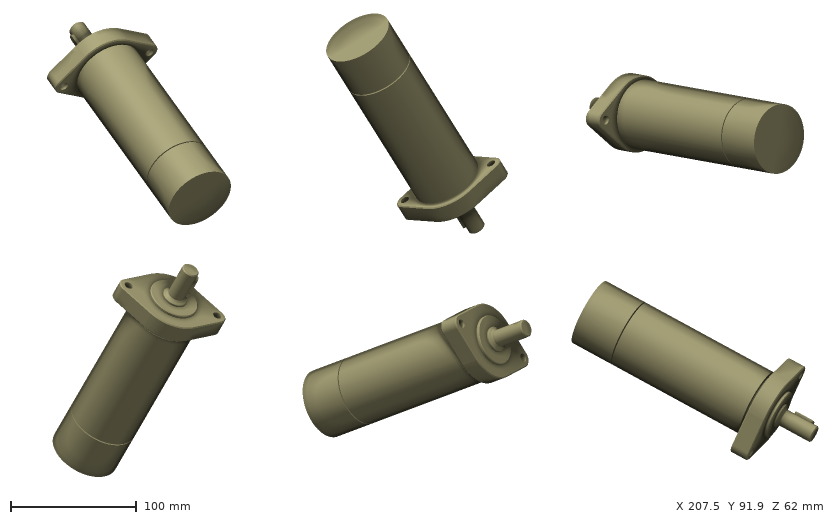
import cadquery as cq
import math

seal_lip_start = 28.2
seal_cone_start = 29.5
seal_cone_end = 30.3
seal_collar_start = 30.7
pilot_start = 32.1
undercut_start = 34.5
flange_start = 35.0
flange_end = 50.6
body_start = 52.9
groove_start = 170.3
groove_end = 171.3
overall_length = 207.5

shaft_diameter = 14.0
seal_lip_diameter = 17.0
seal_cone_diameter = 20.0
seal_collar_diameter = 20.7
pilot_diameter = 40.9
undercut_diameter = 40.0
neck_diameter = 48.0
body_diameter = 56.0

shaft_chamfer = 0.8
pilot_chamfer = 0.6

flange_height = 62.0
flange_width = 91.9
lobe_radius = 7.5
flange_chamfer = 0.8
mount_hole_diameter = 7.0

key_start = 5.2
key_end = 22.8
key_width = 5.4
key_top = 9.0


def cylinder(start, end, diameter):
    """Solid cylinder on the motor axis between two X positions."""
    return cq.Workplane("YZ", origin=(start, 0, 0)).circle(diameter / 2).extrude(end - start)


def make_shaft():
    return cylinder(0, flange_start, shaft_diameter).faces("<X").chamfer(shaft_chamfer)


def make_seal():
    """Seal collar with a flared lip that closes onto the shaft."""
    shaft_radius = shaft_diameter / 2
    lip_radius = seal_lip_diameter / 2
    cone_radius = seal_cone_diameter / 2
    collar_radius = seal_collar_diameter / 2
    return (
        cq.Workplane("XY")
        .moveTo(seal_lip_start, 0)
        .lineTo(seal_lip_start, shaft_radius)
        .lineTo(seal_cone_start, lip_radius)
        .lineTo(seal_cone_end, cone_radius)
        .lineTo(seal_collar_start, collar_radius)
        .lineTo(pilot_start, collar_radius)
        .lineTo(pilot_start, 0)
        .close()
        .revolve(360, (0, 0, 0), (1, 0, 0))
    )


def make_pilot():
    """Centring boss with a shallow undercut against the flange."""
    boss = cylinder(pilot_start, undercut_start, pilot_diameter).faces("<X").chamfer(pilot_chamfer)
    return boss.union(cylinder(undercut_start, flange_start, undercut_diameter))


def make_flange():
    """Plate bounded by two large arcs, two end lobes and their common tangents."""
    main_radius = flange_height / 2
    lobe_centre = flange_width / 2 - lobe_radius
    lean = math.asin((main_radius - lobe_radius) / lobe_centre)
    main_y = main_radius * math.sin(lean)
    main_z = main_radius * math.cos(lean)
    lobe_y = lobe_centre + lobe_radius * math.sin(lean)
    lobe_z = lobe_radius * math.cos(lean)
    plate = (
        cq.Workplane("YZ", origin=(flange_start, 0, 0))
        .moveTo(-main_y, main_z)
        .threePointArc((0, main_radius), (main_y, main_z))
        .lineTo(lobe_y, lobe_z)
        .threePointArc((flange_width / 2, 0), (lobe_y, -lobe_z))
        .lineTo(main_y, -main_z)
        .threePointArc((0, -main_radius), (-main_y, -main_z))
        .lineTo(-lobe_y, -lobe_z)
        .threePointArc((-flange_width / 2, 0), (-lobe_y, lobe_z))
        .close()
        .extrude(flange_end - flange_start)
        .faces("<X or >X")
        .chamfer(flange_chamfer)
    )
    holes = (
        cq.Workplane("YZ", origin=(flange_start, 0, 0))
        .pushPoints([(-lobe_centre, 0), (lobe_centre, 0)])
        .circle(mount_hole_diameter / 2)
        .extrude(flange_end - flange_start)
    )
    return plate.cut(holes)


def make_housing():
    """Gearbox and motor cylinders joined by a narrower core."""
    core = cylinder(flange_end, groove_end, neck_diameter)
    gearbox = cylinder(body_start, groove_start, body_diameter)
    motor = cylinder(groove_end, overall_length, body_diameter)
    return core.union(gearbox).union(motor)


def make_key():
    return (
        cq.Workplane("XZ")
        .center((key_start + key_end) / 2, 0)
        .slot2D(key_end - key_start, key_width)
        .extrude(key_top)
    )


result = (
    make_housing()
    .union(make_flange())
    .union(make_pilot())
    .union(make_seal())
    .union(make_shaft())
    .union(make_key())
)